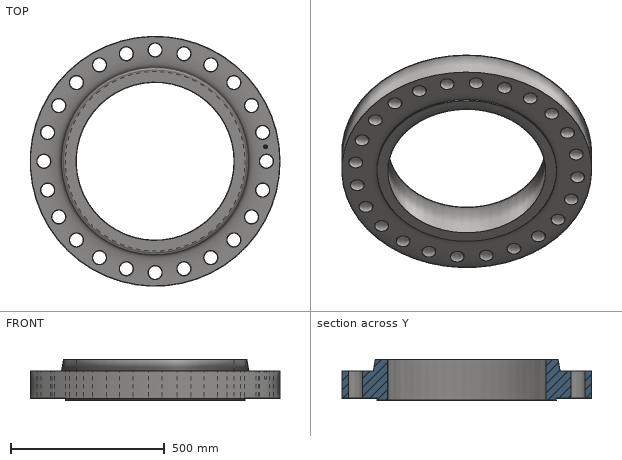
import cadquery as cq
import math

RAISED_FACE_HEIGHT = 6.35
FLANGE_THICKNESS = 88.9
HUB_HEIGHT = 38.1

FLANGE_DIAMETER = 812.8
RAISED_FACE_DIAMETER = 584.2
BORE_DIAMETER = 513.1
HUB_BASE_DIAMETER = 609.6

HUB_DRAFT_DEGREES = 10.0
HUB_TOP_FILLET = 1.5
HUB_ROOT_FILLET = 1.5

BOLT_COUNT = 24
BOLT_CIRCLE_DIAMETER = 723.9
BOLT_HOLE_DIAMETER = 44.45
BOLT_PITCH_DEGREES = 360 / BOLT_COUNT

COUNTERBORE_DIAMETER = 12.7
COUNTERBORE_DEPTH = 1.0
BLIND_HOLE_DIAMETER = 6.8
BLIND_HOLE_DEPTH = 25.4
BLIND_HOLE_ANGLE = BOLT_PITCH_DEGREES / 2

FLANGE_TOP = RAISED_FACE_HEIGHT + FLANGE_THICKNESS
HUB_TOP = FLANGE_TOP + HUB_HEIGHT
HUB_TOP_DIAMETER = HUB_BASE_DIAMETER - 2 * HUB_HEIGHT * math.tan(math.radians(HUB_DRAFT_DEGREES))


def on_bolt_circle(angle_degrees):
    """Return the X, Y place on the bolt circle at the given angle from +X."""
    radius = BOLT_CIRCLE_DIAMETER / 2
    angle = math.radians(angle_degrees)
    return radius * math.cos(angle), radius * math.sin(angle)


def flange_ring():
    """Revolve the raised face, flange plate and tapered hub about the Z axis."""
    profile = [
        (BORE_DIAMETER / 2, 0),
        (RAISED_FACE_DIAMETER / 2, 0),
        (RAISED_FACE_DIAMETER / 2, RAISED_FACE_HEIGHT),
        (FLANGE_DIAMETER / 2, RAISED_FACE_HEIGHT),
        (FLANGE_DIAMETER / 2, FLANGE_TOP),
        (HUB_BASE_DIAMETER / 2, FLANGE_TOP),
        (HUB_TOP_DIAMETER / 2, HUB_TOP),
        (BORE_DIAMETER / 2, HUB_TOP),
    ]
    ring = cq.Workplane("XZ").polyline(profile).close().revolve(360, (0, 0, 0), (0, 1, 0))
    ring = ring.faces(">Z").edges(cq.selectors.RadiusNthSelector(-1)).fillet(HUB_TOP_FILLET)
    flange_top_face = ring.faces("%PLANE").faces(">Z[-2]")
    return flange_top_face.edges(cq.selectors.RadiusNthSelector(0)).fillet(HUB_ROOT_FILLET)


def bolt_holes():
    """Make the ring of cutters for the through bolt holes."""
    places = [on_bolt_circle(index * BOLT_PITCH_DEGREES) for index in range(BOLT_COUNT)]
    return cq.Workplane("XY").pushPoints(places).circle(BOLT_HOLE_DIAMETER / 2).extrude(HUB_TOP)


def drill_blind_hole(body):
    """Drill the counterbored blind hole into the top of the flange plate."""
    top = body.copyWorkplane(cq.Workplane("XY", origin=(0, 0, FLANGE_TOP)))
    hole_place = top.pushPoints([on_bolt_circle(BLIND_HOLE_ANGLE)])
    return hole_place.cboreHole(BLIND_HOLE_DIAMETER, COUNTERBORE_DIAMETER, COUNTERBORE_DEPTH, BLIND_HOLE_DEPTH)


result = drill_blind_hole(flange_ring().cut(bolt_holes()))